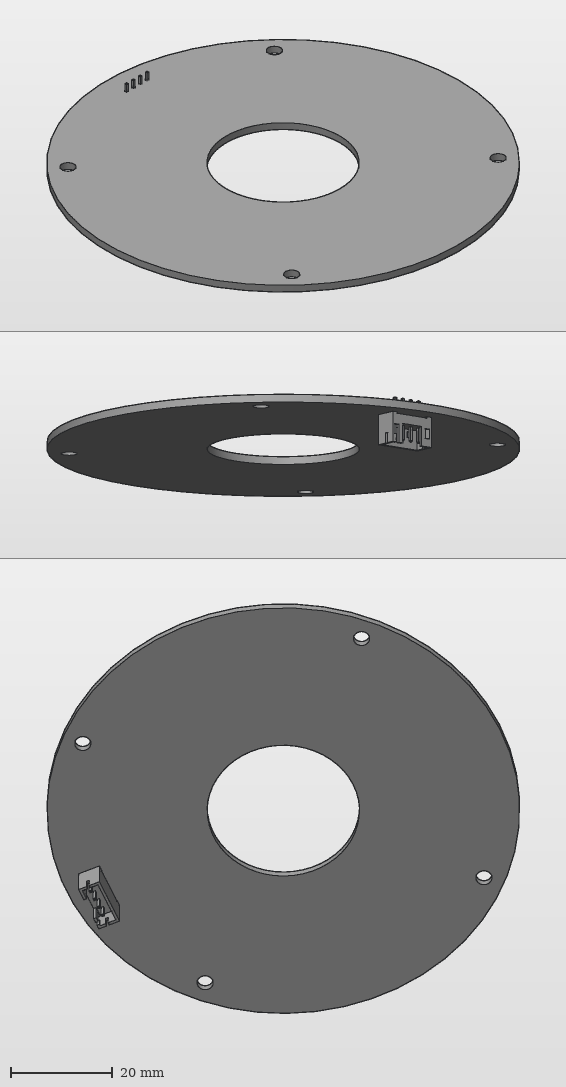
import cadquery as cq


board_diameter = 93.1
board_thickness = 1.6
center_hole_diameter = 30.0
mount_hole_diameter = 3.2
mount_hole_offset = 30.0

pin_count = 4
pin_row_length = 6.0
pin_hole_diameter = 0.75
pin_width = 0.5
pin_above_board = 1.8
pin_tip_height = 0.3
pin_tip_taper = 0.2
pin_top_chamfer = 0.14
pin_tip_inset = 0.8

housing_depth = 4.5
housing_length = 9.9
housing_height = 6.1
housing_x = -40.5
pin_row_offset = 0.51
wall = 0.6
cavity_height = 3.9
standoff_gap = 0.3
standoff_gap_length = 7.5

window_length = 4.75
side_hole_inner = 3.35
side_hole_bottom = 1.7
side_hole_top = 3.6
key_slot_width = 0.65

end_slot_width = 0.6
end_slot_height = 2.05
end_slot_x = -40.8

rib_width = 0.4
rib_depth = 0.3
rib_bottom = 2.2
rib_top = 3.35

pin_pitch = pin_row_length / (pin_count - 1)
pin_row_y = pin_pitch
pin_row_x = housing_x - pin_row_offset
front_x = housing_x - housing_depth / 2
back_x = front_x + housing_depth
mouth_z = -housing_height
cavity_top_z = mouth_z + cavity_height
cavity_length = housing_length - 2 * wall
side_hole_outer = cavity_length / 2
pin_y_positions = [pin_row_y + (i - (pin_count - 1) / 2) * pin_pitch for i in range(pin_count)]
rib_y_positions = [y + pin_pitch / 2 for y in pin_y_positions[:-1]]


def block(x_range, y_range, z_range):
    """Box that fills the given (low, high) ranges."""
    low, high = zip(x_range, y_range, z_range)
    sizes = [b - a for a, b in zip(low, high)]
    return cq.Workplane("XY").box(*sizes, centered=False).translate(low)


def around(middle, width):
    """Range of the given width around a middle value."""
    return (middle - width / 2, middle + width / 2)


def make_board():
    """Round board with a large centre hole, mounting holes and pin holes."""
    mount_points = [
        (sx * mount_hole_offset, sy * mount_hole_offset) for sx in (-1, 1) for sy in (-1, 1)
    ]
    pin_points = [(pin_row_x, y) for y in pin_y_positions]
    disc = cq.Workplane("XY").circle(board_diameter / 2).circle(center_hole_diameter / 2)
    disc = disc.extrude(board_thickness)
    mount_holes = cq.Workplane("XY").pushPoints(mount_points).circle(mount_hole_diameter / 2)
    pin_holes = cq.Workplane("XY").pushPoints(pin_points).circle(pin_hole_diameter / 2)
    return disc.cut(mount_holes.extrude(board_thickness)).cut(pin_holes.extrude(board_thickness))


def make_shell():
    """Housing block with its plug cavity and the channel between its feet."""
    body = block((front_x, back_x), around(pin_row_y, housing_length), (mouth_z, 0))
    cavity = block(
        (front_x + wall, back_x - wall), around(pin_row_y, cavity_length), (mouth_z, cavity_top_z)
    )
    channel = block(
        (front_x, back_x), around(pin_row_y, standoff_gap_length), (-standoff_gap, 0)
    )
    return body.cut(cavity).cut(channel)


def cut_front_wall(body):
    """Cut the window, the two side holes and the key slot through the -X wall."""
    front_wall = (front_x, front_x + wall)
    window = block(front_wall, around(pin_row_y, window_length), (mouth_z, cavity_top_z))
    body = body.cut(window)

    hole_heights = (mouth_z + side_hole_bottom, mouth_z + side_hole_top)
    for side in (-1, 1):
        edges = sorted((pin_row_y + side * side_hole_inner, pin_row_y + side * side_hole_outer))
        body = body.cut(block(front_wall, edges, hole_heights))

    key_start = pin_row_y + side_hole_inner
    key_slot = block(front_wall, (key_start, key_start + key_slot_width), (mouth_z, hole_heights[1]))
    return body.cut(key_slot)


def cut_end_slots(body):
    """Cut a slot, open at the mouth, through both end walls."""
    slot = block(
        around(end_slot_x, end_slot_width),
        around(pin_row_y, housing_length),
        (mouth_z, mouth_z + end_slot_height),
    )
    return body.cut(slot)


def make_rib(y):
    """Small rib that stands on the inside of the +X wall."""
    inner_face_x = back_x - wall
    return block(
        (inner_face_x - rib_depth, inner_face_x),
        around(y, rib_width),
        (mouth_z + rib_bottom, mouth_z + rib_top),
    )


def make_pin(y):
    """Square pin from inside the cavity to above the board, with a tapered lower tip and a chamfered top."""
    pin = block(
        around(pin_row_x, pin_width),
        around(y, pin_width),
        (mouth_z + pin_tip_inset, board_thickness + pin_above_board),
    )
    pin = pin.faces("<Z").chamfer(pin_tip_height, pin_tip_taper)
    return pin.faces(">Z").chamfer(pin_top_chamfer)


def make_connector():
    """Connector: housing and pins as one body."""
    body = cut_end_slots(cut_front_wall(make_shell()))
    for y in rib_y_positions:
        body = body.union(make_rib(y))
    for y in pin_y_positions:
        body = body.union(make_pin(y))
    return body


board = make_board()
connector = make_connector()

result = cq.Compound.makeCompound([board.solids().val(), connector.solids().val()])